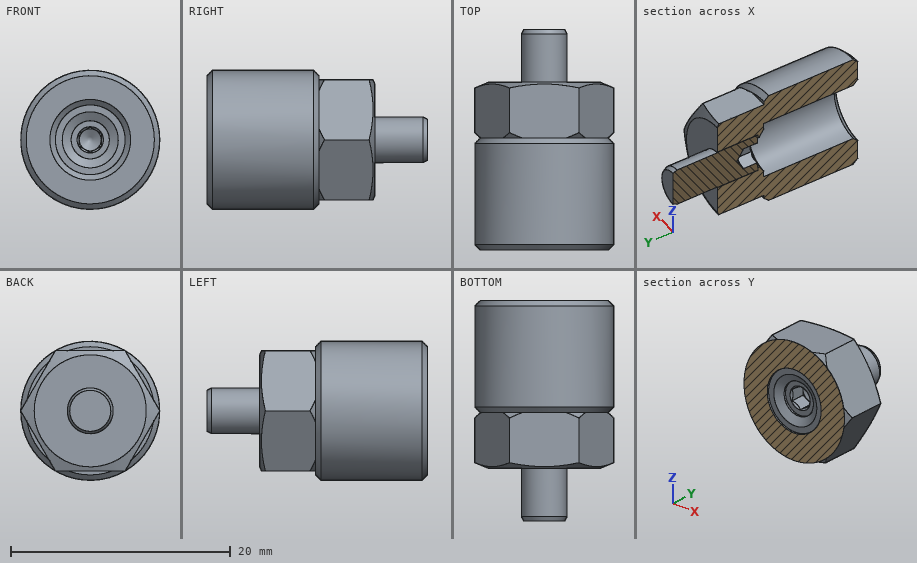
import cadquery as cq
import math

total_length = 20.07
barrel_diameter = 12.66
barrel_length = 10.2
hex_length = 5.08
hex_end = barrel_length + hex_length
edge_chamfer = 0.5
drill_half_angle = math.radians(59)

hex_end_diameter = 10.2
hex_bevel_length = 0.52

bore_diameter = 6.35
bore_depth = barrel_length
countersink_diameter = 5.1
neck_diameter = 3.47
countersink_depth = (countersink_diameter - neck_diameter) / 2 / math.tan(drill_half_angle)
neck_length = 0.2
countersink_end = bore_depth + countersink_depth

screw_diameter = 4.17
screw_end_diameter = 3.73
screw_chamfer_length = 0.42
screw_start = countersink_end + neck_length
screw_length = total_length - screw_start
socket_flats = 2.0
socket_corners = socket_flats / math.cos(math.pi / 6)
socket_turn = 30
socket_depth = 1.6
socket_mouth_diameter = 2.39
socket_mouth_depth = (socket_mouth_diameter - socket_flats) / 2
socket_tip_depth = socket_flats / 2 / math.tan(drill_half_angle)


def cylinder(diameter, start, length):
    """Cylinder along Y from the given start position."""
    return cq.Workplane("XZ", origin=(0, start, 0)).circle(diameter / 2).extrude(-length)


def cone(start_diameter, end_diameter, start, length):
    """Cone or cone frustum along Y."""
    solid = cq.Solid.makeCone(
        start_diameter / 2, end_diameter / 2, length, cq.Vector(0, start, 0), cq.Vector(0, 1, 0)
    )
    return cq.Workplane(obj=solid)


def hexagonal_prism(corner_diameter, start, length):
    """Hexagonal prism along Y."""
    return cq.Workplane("XZ", origin=(0, start, 0)).polygon(6, corner_diameter).extrude(-length)


def make_hexagon():
    """Wrench hexagon, with both ends trimmed by cones at its corners."""
    radius = barrel_diameter / 2
    envelope = (
        cq.Workplane("XY")
        .moveTo(0, barrel_length)
        .lineTo(radius - edge_chamfer, barrel_length)
        .lineTo(radius, barrel_length + edge_chamfer)
        .lineTo(radius, hex_end - hex_bevel_length)
        .lineTo(hex_end_diameter / 2, hex_end)
        .lineTo(0, hex_end)
        .close()
        .revolve(360, (0, 0, 0), (0, 1, 0))
    )
    return hexagonal_prism(barrel_diameter, barrel_length, hex_length).intersect(envelope)


def make_housing():
    """Chamfered barrel and hexagon, bored from the front and drilled for the screw."""
    barrel = cylinder(barrel_diameter, 0, barrel_length).edges("%CIRCLE").chamfer(edge_chamfer)
    body = barrel.union(make_hexagon())
    body = body.cut(cylinder(bore_diameter, 0, bore_depth))
    body = body.cut(cone(bore_diameter + 2 * edge_chamfer, bore_diameter, 0, edge_chamfer))
    body = body.cut(cone(countersink_diameter, neck_diameter, bore_depth, countersink_depth))
    body = body.cut(cylinder(neck_diameter, countersink_end, neck_length))
    return body.cut(cylinder(screw_diameter, screw_start, hex_end - screw_start))


def make_set_screw():
    """Headless screw with a chamfered rear end and a hexagonal socket in front."""
    shank = cylinder(screw_diameter, screw_start, screw_length - screw_chamfer_length)
    tip = cone(
        screw_diameter, screw_end_diameter, total_length - screw_chamfer_length, screw_chamfer_length
    )
    screw = shank.union(tip)
    socket = hexagonal_prism(socket_corners, screw_start, socket_depth)
    screw = screw.cut(socket.rotate((0, 0, 0), (0, 1, 0), socket_turn))
    screw = screw.cut(cone(socket_mouth_diameter, socket_flats, screw_start, socket_mouth_depth))
    return screw.cut(cone(socket_flats, 0, screw_start + socket_depth, socket_tip_depth))


def place(body):
    """Centre the assembly length on the origin."""
    return body.translate((0, -total_length / 2, 0))


housing = place(make_housing())
set_screw = place(make_set_screw())
result = cq.Compound.makeCompound([housing.val(), set_screw.val()])